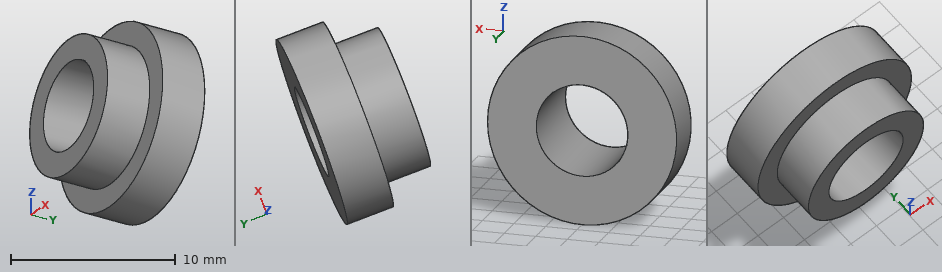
import cadquery as cq

flange_diameter = 12.0
flange_length = 3.0
sleeve_diameter = 9.0
sleeve_length = 3.0
bore_diameter = 5.8

total_length = flange_length + sleeve_length


def cylinder_along_y(diameter, start_y, length):
    """Solid cylinder on the Y axis, running from start_y toward +Y."""
    return (
        cq.Workplane("XZ")
        .workplane(offset=-start_y)
        .circle(diameter / 2)
        .extrude(-length)
    )


sleeve = cylinder_along_y(sleeve_diameter, 0, sleeve_length)
flange = cylinder_along_y(flange_diameter, sleeve_length, flange_length)
bore = cylinder_along_y(bore_diameter, 0, total_length)

result = sleeve.union(flange).cut(bore)